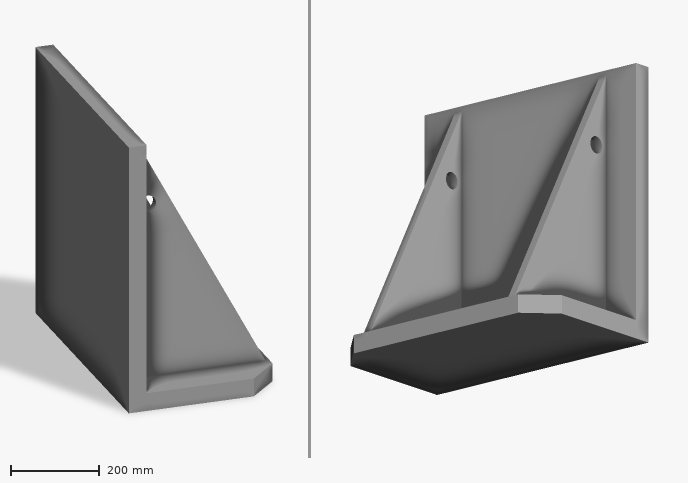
import cadquery as cq

width = 630.0
depth = 370.0
height = 650.0

plate_thickness = 43.0
base_thickness = 43.5
corner_chamfer = 70.0

rib_thickness = 20.0
rib_inset = 90.0
rib_back_gap = 10.0
rib_top_gap = 13.0

hole_diameter = 40.0
hole_from_plate = 34.0
hole_from_top = 183.0


def make_upright():
    return cq.Workplane("XY").box(width, plate_thickness, height, centered=(True, False, False))


def make_base():
    base = cq.Workplane("XY").box(width, depth, base_thickness, centered=(True, False, False))
    return base.faces(">Y").edges("|Z").chamfer(corner_chamfer)


def make_rib(start_x):
    """Right-triangle rib joining the upright to the base, with its lifting hole."""
    rib = (
        cq.Workplane("YZ", origin=(start_x, 0, 0))
        .moveTo(plate_thickness, base_thickness)
        .lineTo(depth - rib_back_gap, base_thickness)
        .lineTo(plate_thickness, height - rib_top_gap)
        .close()
        .extrude(rib_thickness)
    )
    hole = (
        cq.Workplane("YZ", origin=(start_x, 0, 0))
        .center(plate_thickness + hole_from_plate, height - hole_from_top)
        .circle(hole_diameter / 2)
        .extrude(rib_thickness)
    )
    return rib.cut(hole)


left_rib_x = -width / 2 + rib_inset
right_rib_x = width / 2 - rib_inset - rib_thickness

result = make_upright().union(make_base())
for rib_x in (left_rib_x, right_rib_x):
    result = result.union(make_rib(rib_x))